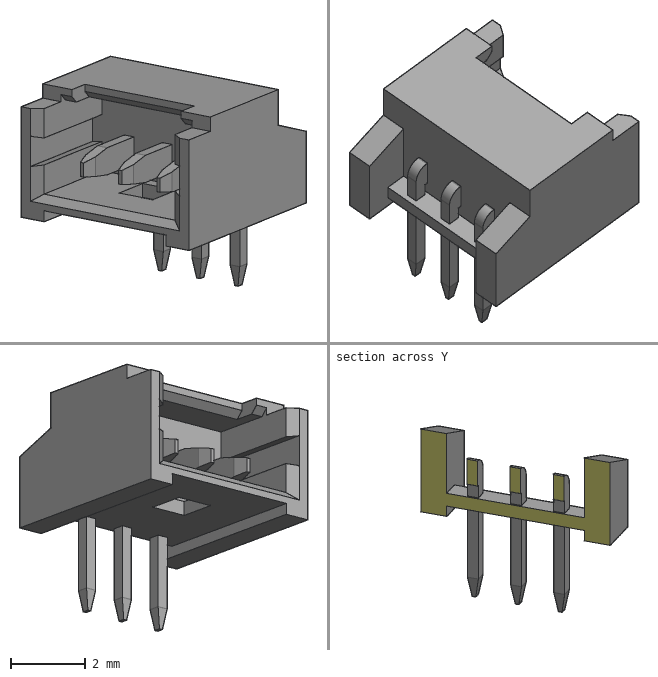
import cadquery as cq


WIDTH = 5.5
LENGTH = 5.5
HEIGHT = 3.5
TOTAL_HEIGHT = 5.8

STEP_LENGTH = 1.005
STEP_DROP = 0.4
BODY_REAR = 4.195
ARM_ROOT_Z = 2.5
ARM_END_Z = 2.01
LEDGE_REAR = 4.795

FOOT_WIDTH = 0.755
FOOT_HEIGHT = 0.31

CAVITY_WIDTH = 4.29
CAVITY_DEPTH = 2.92
FLOOR_Z = 0.7
ROOF_Z = HEIGHT - STEP_DROP
MOUTH_BEVEL = 0.205
SIDE_BEVEL = 0.3

NOTCH_WIDTH = 3.58
NOTCH_DEPTH = 1.61

GROOVE_Z = 1.895
GROOVE_OPENING = 0.755
GROOVE_BASE = 0.845

WINDOW_SIDE = 1.1
WINDOW_FRONT = 1.45

PIN_COUNT = 3
PIN_PITCH = 1.25
PIN_WIDTH = 0.32
PIN_TIP_WIDTH = 0.105
BLADE_TOP = 1.825
BLADE_BOTTOM = 1.07
BLADE_TIP_TOP = 1.61
BLADE_TIP_BOTTOM = 1.22
BLADE_TIP_Y = 0.71
BLADE_SIDE_TAPER = 0.4
BLADE_FACE_TAPER = 0.955
LEG_REAR = 4.635
LEG_THICKNESS = 0.34
LEG_TIP_THICKNESS = 0.2
LEG_TAPER = 0.585
BEND_RADIUS = 0.405

LEG_BOTTOM = HEIGHT - TOTAL_HEIGHT
CAVITY_SIDE = CAVITY_WIDTH / 2
MOUTH_SIDE = CAVITY_SIDE + SIDE_BEVEL


def box(width, y_front, y_rear, z_bottom, z_top):
    """Box centred on X between the given Y and Z limits."""
    size = (width, y_rear - y_front, z_top - z_bottom)
    return cq.Workplane("XY").box(*size, centered=(True, False, False)).translate((0, y_front, z_bottom))


def side_prism(outline, width):
    """(Y, Z) outline extruded symmetrically along X."""
    return cq.Workplane("YZ").polyline(outline).close().extrude(width / 2, both=True)


def outer_block():
    outline = [
        (0, 0),
        (LENGTH, 0),
        (LENGTH, ARM_END_Z),
        (BODY_REAR, ARM_ROOT_Z),
        (BODY_REAR, HEIGHT),
        (STEP_LENGTH, HEIGHT),
        (STEP_LENGTH, ROOF_Z),
        (0, ROOF_Z),
    ]
    block = side_prism(outline, WIDTH)
    gap = WIDTH - 2 * FOOT_WIDTH
    block = block.cut(box(gap, 0, LENGTH, 0, FOOT_HEIGHT))
    block = block.cut(box(gap, LEDGE_REAR, LENGTH, 0, HEIGHT))
    return block.cut(box(gap, BODY_REAR, LENGTH, FLOOR_Z, HEIGHT))


def mouth_bevel():
    """Flare of the cavity floor and side walls at the mouth."""
    flare_floor = FLOOR_Z - MOUTH_BEVEL
    return (
        cq.Workplane("XZ")
        .moveTo(0, (flare_floor + HEIGHT) / 2)
        .rect(2 * MOUTH_SIDE, HEIGHT - flare_floor)
        .workplane(offset=-MOUTH_BEVEL)
        .moveTo(0, (FLOOR_Z + HEIGHT) / 2)
        .rect(CAVITY_WIDTH, HEIGHT - FLOOR_Z)
        .loft(ruled=True)
        .intersect(box(WIDTH, 0, MOUTH_BEVEL, 0, ROOF_Z))
    )


def roof_bevel(edge_y, width):
    """Wedge beveling the underside of a roof edge at the given Y."""
    outline = [
        (edge_y, ROOF_Z),
        (edge_y + MOUTH_BEVEL, ROOF_Z),
        (edge_y, ROOF_Z + MOUTH_BEVEL),
    ]
    return side_prism(outline, width)


def wall_grooves():
    """Dovetail running across both side walls, wider at its base."""
    inner = GROOVE_OPENING / 2
    outer = GROOVE_BASE / 2
    outline = [
        (-MOUTH_SIDE, GROOVE_Z - outer),
        (-CAVITY_SIDE, GROOVE_Z - inner),
        (CAVITY_SIDE, GROOVE_Z - inner),
        (MOUTH_SIDE, GROOVE_Z - outer),
        (MOUTH_SIDE, GROOVE_Z + outer),
        (CAVITY_SIDE, GROOVE_Z + inner),
        (-CAVITY_SIDE, GROOVE_Z + inner),
        (-MOUTH_SIDE, GROOVE_Z + outer),
    ]
    return cq.Workplane("XZ").polyline(outline).close().extrude(-CAVITY_DEPTH)


def housing():
    body = outer_block()
    body = body.cut(box(CAVITY_WIDTH, 0, CAVITY_DEPTH, FLOOR_Z, ROOF_Z))
    body = body.cut(box(NOTCH_WIDTH, 0, NOTCH_DEPTH, ROOF_Z, HEIGHT))
    body = body.cut(mouth_bevel())
    body = body.cut(roof_bevel(STEP_LENGTH, CAVITY_WIDTH))
    body = body.cut(roof_bevel(NOTCH_DEPTH, NOTCH_WIDTH))
    body = body.cut(wall_grooves())
    return body.cut(box(WINDOW_SIDE, WINDOW_FRONT, WINDOW_FRONT + WINDOW_SIDE, 0, FLOOR_Z))


def pin_profile():
    """Side shape of a pin: contact blade, rounded outer bend and solder leg."""
    taper_end = BLADE_TIP_Y + BLADE_FACE_TAPER
    leg_front = LEG_REAR - LEG_THICKNESS
    tip_inset = (LEG_THICKNESS - LEG_TIP_THICKNESS) / 2
    return (
        cq.Workplane("YZ")
        .moveTo(BLADE_TIP_Y, BLADE_TIP_TOP)
        .lineTo(taper_end, BLADE_TOP)
        .lineTo(LEG_REAR - BEND_RADIUS, BLADE_TOP)
        .radiusArc((LEG_REAR, BLADE_TOP - BEND_RADIUS), BEND_RADIUS)
        .lineTo(LEG_REAR, LEG_BOTTOM + LEG_TAPER)
        .lineTo(LEG_REAR - tip_inset, LEG_BOTTOM)
        .lineTo(leg_front + tip_inset, LEG_BOTTOM)
        .lineTo(leg_front, LEG_BOTTOM + LEG_TAPER)
        .lineTo(leg_front, BLADE_BOTTOM)
        .lineTo(taper_end, BLADE_BOTTOM)
        .lineTo(BLADE_TIP_Y, BLADE_TIP_BOTTOM)
        .close()
        .extrude(PIN_WIDTH / 2, both=True)
    )


def pointed_strip(plane, tip, taper, end):
    """Pin-width strip on the given plane, narrowing to its tip along the second axis."""
    half = PIN_WIDTH / 2
    half_tip = PIN_TIP_WIDTH / 2
    outline = [
        (-half_tip, tip),
        (half_tip, tip),
        (half, tip + taper),
        (half, end),
        (-half, end),
        (-half, tip + taper),
    ]
    return cq.Workplane(plane).polyline(outline).close().extrude(TOTAL_HEIGHT, both=True)


def pin():
    blade_taper = pointed_strip("XY", BLADE_TIP_Y, BLADE_SIDE_TAPER, LEG_REAR)
    leg_taper = pointed_strip("XZ", LEG_BOTTOM, LEG_TAPER, BLADE_TOP)
    return pin_profile().intersect(blade_taper).intersect(leg_taper)


result = housing()
for index in range(PIN_COUNT):
    pin_x = (index - (PIN_COUNT - 1) / 2) * PIN_PITCH
    result = result.union(pin().translate((pin_x, 0, 0)))